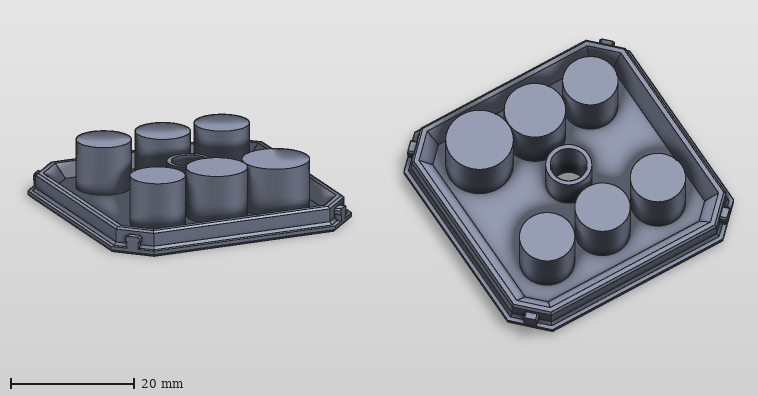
import cadquery as cq
import math

plate_side = 43.0
corner_cut = 5.3
plate_height = 1.0
bottom_chamfer = 0.4

rim_inset = 1.15
rim_top = 4.0
rim_top_chamfer = 0.35
rim_foot_chamfer = 0.45
rim_land = 0.8

tray_slope_run = 2.1
tray_floor = 1.9

peg_pitch = 10.55
peg_top = 10.0
small_peg = 9.0
medium_peg = 10.0
large_peg = 11.0
pegs = [
    (-peg_pitch, peg_pitch, small_peg),
    (-peg_pitch, 0, small_peg),
    (-peg_pitch, -peg_pitch, small_peg),
    (peg_pitch, peg_pitch, large_peg),
    (peg_pitch, 0, medium_peg),
    (peg_pitch, -peg_pitch, small_peg),
]

tube_diameter = 7.5
tube_bore = 6.0
tube_top = 8.0

tab_stem_width = 2.0
tab_head_width = 2.4
tab_shoulder = 2.1
tab_top = 3.05
tab_chamfer = 0.3

tray_top_inset = rim_inset + rim_top_chamfer + rim_land
tray_floor_inset = tray_top_inset + tray_slope_run
corner_face_distance = (plate_side - corner_cut) / math.sqrt(2)


def octagon(inset, height):
    """Plate outline moved inward by inset on every edge, at the given height."""
    half = plate_side / 2 - inset
    cut = corner_cut - inset * (2 - math.sqrt(2))
    short = half - cut
    points = [
        (half, short), (short, half), (-short, half), (-half, short),
        (-half, -short), (-short, -half), (short, -half), (half, -short),
    ]
    return cq.Wire.makePolygon([cq.Vector(x, y, height) for x, y in points], close=True)


def layer(lower_inset, bottom, upper_inset, top):
    """Solid slab between two outlines; unequal insets give sloping sides."""
    wires = [octagon(lower_inset, bottom), octagon(upper_inset, top)]
    return cq.Workplane(cq.Solid.makeLoft(wires, True))


def plate():
    chamfered_edge = layer(bottom_chamfer, 0, 0, bottom_chamfer)
    return chamfered_edge.union(layer(0, bottom_chamfer, 0, plate_height))


def rim():
    foot_top = plate_height + rim_foot_chamfer
    wall_top = rim_top - rim_top_chamfer
    foot = layer(rim_inset - rim_foot_chamfer, plate_height, rim_inset, foot_top)
    wall = layer(rim_inset, foot_top, rim_inset, wall_top)
    crown = layer(rim_inset, wall_top, rim_inset + rim_top_chamfer, rim_top)
    return foot.union(wall).union(crown)


def tray():
    return layer(tray_floor_inset, tray_floor, tray_top_inset, rim_top)


def post(x, y, diameter, top):
    height = top - tray_floor
    return cq.Workplane("XY", origin=(x, y, tray_floor)).circle(diameter / 2).extrude(height)


def tab(angle):
    """T-profile tab filling the space from the corner face back to the rim wall."""
    stem = tab_stem_width / 2
    head = tab_head_width / 2
    profile = [
        (-stem, plate_height), (-stem, tab_shoulder), (-head, tab_shoulder),
        (-head, tab_top - tab_chamfer), (-head + tab_chamfer, tab_top),
        (head - tab_chamfer, tab_top), (head, tab_top - tab_chamfer),
        (head, tab_shoulder), (stem, tab_shoulder), (stem, plate_height),
    ]
    start = corner_face_distance - rim_inset
    solid = cq.Workplane("YZ", origin=(start, 0, 0)).polyline(profile).close().extrude(rim_inset)
    return solid.rotate((0, 0, 0), (0, 0, 1), angle)


body = plate().union(rim()).cut(tray())
for peg_x, peg_y, peg_diameter in pegs:
    body = body.union(post(peg_x, peg_y, peg_diameter, peg_top))
body = body.union(post(0, 0, tube_diameter, tube_top))
body = body.cut(cq.Workplane("XY").circle(tube_bore / 2).extrude(tube_top))
for corner_angle in (45, 135, 225, 315):
    body = body.union(tab(corner_angle))

result = body